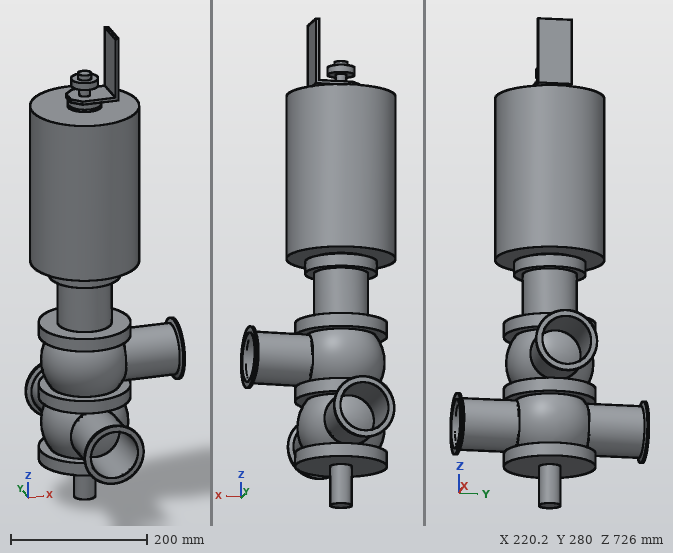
import cadquery as cq
import math

LOWER_FLANGE_Z = 59.0
FLANGE_HEIGHT = 19.5
FLANGE_PITCH = 98.0
COLLAR_BOTTOM_Z = 349.0
COLLAR_TOP_Z = 367.0
ACTUATOR_BOTTOM_Z = 371.5
ACTUATOR_TOP_Z = 616.0
BOSS_TOP_Z = 620.0
BRACKET_BOTTOM_Z = 628.5
DISC_BOTTOM_Z = 649.0
DISC_TOP_Z = 660.0
STEM_TOP_Z = 668.0
OVERALL_HEIGHT = 726.0

ROD_DIAMETER = 32.0
FLANGE_DIAMETER = 135.0
CHAMBER_DIAMETER = 128.5
NECK_DIAMETER = 80.0
COLLAR_DIAMETER = 105.0
ACTUATOR_DIAMETER = 160.5
BOSS_DIAMETER = 50.0
STEM_DIAMETER = 16.0
DISC_DIAMETER = 40.0
STEM_HEAD_DIAMETER = 19.5

PORT_REACH = 140.0
PIPE_DIAMETER = 76.0
BORE_DIAMETER = 72.5
FERRULE_DIAMETER = 91.0
FERRULE_RIM = 3.0
FERRULE_TAPER = 3.0

BRACKET_THICKNESS = 5.0
BRACKET_WIDTH = 50.0
BRACKET_LEFT_X = -BRACKET_WIDTH / 2
BRACKET_RIGHT_X = 44.0
BRACKET_CORNER = 14.0

FLANGE_LEVELS = [LOWER_FLANGE_Z + i * FLANGE_PITCH for i in range(3)]
TOP_FLANGE_TOP_Z = FLANGE_LEVELS[-1] + FLANGE_HEIGHT
CHAMBER_HEIGHT = FLANGE_PITCH - FLANGE_HEIGHT
CHAMBER_CENTRES = [z + (FLANGE_HEIGHT + FLANGE_PITCH) / 2 for z in FLANGE_LEVELS[:-1]]
LOWER_PORT_Z, UPPER_PORT_Z = CHAMBER_CENTRES
PORTS = [(0, UPPER_PORT_Z), (90, LOWER_PORT_Z), (-90, LOWER_PORT_Z)]


def disc(diameter, bottom, top):
    """Vertical cylinder on the valve axis between two levels."""
    return cq.Workplane("XY").workplane(offset=bottom).circle(diameter / 2).extrude(top - bottom)


def chamber(centre_z):
    """Sphere cut flat by the flanges above and below it."""
    slab = disc(FLANGE_DIAMETER, centre_z - CHAMBER_HEIGHT / 2, centre_z + CHAMBER_HEIGHT / 2)
    sphere = cq.Workplane("XY").sphere(CHAMBER_DIAMETER / 2)
    return sphere.translate((0, 0, centre_z)).intersect(slab)


def place_port(profile, angle, level):
    """Revolve a profile about X, then turn it to the port direction."""
    turned = profile.revolve(360, (0, 0, 0), (1, 0, 0))
    return turned.rotate((0, 0, 0), (0, 0, 1), angle).translate((0, 0, level))


def port_pipe(angle, level):
    """Solid pipe from the valve axis out to its tapered ferrule."""
    rim_back = PORT_REACH - FERRULE_RIM
    profile = (
        cq.Workplane("XY")
        .lineTo(0, PIPE_DIAMETER / 2)
        .lineTo(rim_back - FERRULE_TAPER, PIPE_DIAMETER / 2)
        .lineTo(rim_back, FERRULE_DIAMETER / 2)
        .lineTo(PORT_REACH, FERRULE_DIAMETER / 2)
        .lineTo(PORT_REACH, 0)
        .close()
    )
    return place_port(profile, angle, level)


def port_bore(angle, level):
    """Blind bore that stops at the spherical surface of the solid chamber."""
    ball_radius = CHAMBER_DIAMETER / 2
    bore_radius = BORE_DIAMETER / 2
    rim_x = math.sqrt(ball_radius**2 - bore_radius**2)
    profile = (
        cq.Workplane("XY")
        .moveTo(ball_radius, 0)
        .radiusArc((rim_x, bore_radius), -ball_radius)
        .lineTo(PORT_REACH, bore_radius)
        .lineTo(PORT_REACH, 0)
        .close()
    )
    return place_port(profile, angle, level)


def make_valve():
    """Chambers, flanges, ports, neck and actuator."""
    body = disc(ROD_DIAMETER, 0, LOWER_FLANGE_Z)
    for level in FLANGE_LEVELS:
        body = body.union(disc(FLANGE_DIAMETER, level, level + FLANGE_HEIGHT))
    for centre_z in CHAMBER_CENTRES:
        body = body.union(chamber(centre_z))
    body = body.union(disc(NECK_DIAMETER, TOP_FLANGE_TOP_Z, ACTUATOR_BOTTOM_Z))
    body = body.union(disc(COLLAR_DIAMETER, COLLAR_BOTTOM_Z, COLLAR_TOP_Z))
    body = body.union(disc(ACTUATOR_DIAMETER, ACTUATOR_BOTTOM_Z, ACTUATOR_TOP_Z))
    body = body.union(disc(BOSS_DIAMETER, ACTUATOR_TOP_Z, BOSS_TOP_Z))
    for angle, level in PORTS:
        body = body.union(port_pipe(angle, level))
    for angle, level in PORTS:
        body = body.cut(port_bore(angle, level))
    return body


def make_bracket():
    """L-shaped plate with its two free foot corners cut off."""
    foot_top = BRACKET_BOTTOM_Z + BRACKET_THICKNESS
    upright_x = BRACKET_RIGHT_X - BRACKET_THICKNESS
    plate = (
        cq.Workplane("XZ")
        .moveTo(BRACKET_LEFT_X, BRACKET_BOTTOM_Z)
        .lineTo(BRACKET_RIGHT_X, BRACKET_BOTTOM_Z)
        .lineTo(BRACKET_RIGHT_X, OVERALL_HEIGHT)
        .lineTo(upright_x, OVERALL_HEIGHT)
        .lineTo(upright_x, foot_top)
        .lineTo(BRACKET_LEFT_X, foot_top)
        .close()
        .extrude(BRACKET_WIDTH / 2, both=True)
    )
    return plate.faces("<X").edges("|Z").chamfer(BRACKET_CORNER)


def make_indicator():
    """Base, bracket and headed stem standing on the actuator boss."""
    base = disc(BOSS_DIAMETER, BOSS_TOP_Z, BRACKET_BOTTOM_Z)
    stem = disc(STEM_DIAMETER, BRACKET_BOTTOM_Z, DISC_BOTTOM_Z)
    stem_disc = disc(DISC_DIAMETER, DISC_BOTTOM_Z, DISC_TOP_Z)
    stem_head = disc(STEM_HEAD_DIAMETER, DISC_TOP_Z, STEM_TOP_Z)
    return base.union(make_bracket()).union(stem).union(stem_disc).union(stem_head)


valve = make_valve()
indicator = make_indicator()

result = cq.Compound.makeCompound([valve.solids().val(), indicator.solids().val()])